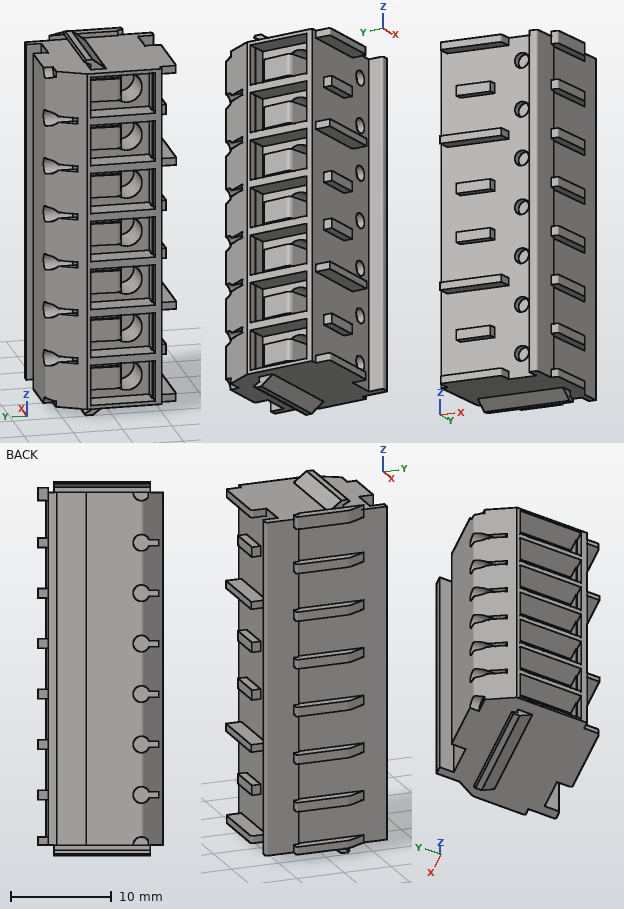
import cadquery as cq
import math

overall_height = 37
cells = 7
pitch = 5.0
clip_height = 1.05
housing_height = overall_height - 2 * clip_height
top = housing_height / 2
first_cell = -pitch * (cells - 1) / 2
cell_centres = [first_cell + i * pitch for i in range(cells)]
cell_borders = [z + pitch / 2 for z in cell_centres[:-1]]

depth = 13.0
front_face = 1.63
wire_face_end = 9.2
slope_run = 2.0
nose_radius = 0.37
channel_left = 7.6
channel_right = 10.55
channel_floor = 11.47
side_face = 11.35
rail_left = 10.65
rail_right = 11.6
rail_shoulder = 3.5
rail_radius = 0.22

long_rib_borders = (1, 4)
long_rib_left = 0.7
long_rib_thickness = 0.78
short_rib_left = 2.2
short_rib_right = 6.0
short_rib_thickness = 1.05
short_rib_front = 0.7
end_rib_radius = 0.25

lug_right = 12.4
lug_front = 2.95
lug_back = 10.5
lug_bend = 8.62
lug_bend_radius = 1.1
lug_thickness = 0.95
end_lug_thickness = 0.8
top_lug_rise = 0.48
lug_radius = 0.15

entry_front = 2.3
entry_back = 8.85
entry_height = 4.18
mouth_depth = 0.95
entry_depth = 2.3
entry_front_step = 0.1
entry_back_step = 0.05
wire_hole_diameter = 3.0
wire_hole_y = 4.62
wire_hole_end = 5.92

spring_width = 2.25
spring_back = 8.65
spring_bend_start = 5.77
spring_tip = 4.48
spring_crest = 1.9
spring_tilt = 0.15
spring_nose = 0.37
spring_bend_end = (2.25, 5.25)

driver_radius = 0.8
driver_x = 2.15
driver_floor = 10.05
end_driver_floor = 12.02
driver_slit = 0.6

test_hole_diameter = 1.55
test_hole_x = 9.03
test_hole_depth = 0.8

clip_left = 1.25
clip_right = 10.8


def box(x0, x1, y0, y1, z0, z1):
    """Block given by its limits along each axis."""
    return cq.Workplane("XY").box(x1 - x0, y1 - y0, z1 - z0, centered=False).translate((x0, y0, z0))


def y_cylinder(radius, x, z, y0, y1):
    """Cylinder along Y from y0 to y1."""
    return cq.Workplane("XZ", origin=(x, y0, z)).circle(radius).extrude(y0 - y1)


def housing():
    body = (
        cq.Workplane("XY", origin=(0, 0, -top))
        .moveTo(0, front_face)
        .lineTo(0, wire_face_end)
        .lineTo(slope_run, depth)
        .lineTo(channel_left, depth)
        .lineTo(channel_left, channel_floor)
        .lineTo(channel_right, channel_floor)
        .lineTo(channel_right, depth)
        .lineTo(side_face, depth)
        .lineTo(side_face, rail_shoulder)
        .lineTo(rail_right, rail_shoulder)
        .lineTo(rail_right, 0)
        .lineTo(rail_left, 0)
        .lineTo(rail_left, front_face)
        .close()
        .extrude(housing_height)
    )
    body = body.edges("|Z and <Y").fillet(rail_radius)
    nose = cq.selectors.NearestToPointSelector((slope_run, depth, 0))
    return body.edges(nose).fillet(nose_radius)


def front_ribs():
    """Bars on the -Y face: one at each end and one on every cell border."""
    ribs = cq.Workplane("XY")
    for z in (-top, top - long_rib_thickness):
        end_rib = box(long_rib_left, channel_left, 0, front_face, z, z + long_rib_thickness)
        ribs = ribs.union(end_rib.edges("|Z and <Y").fillet(end_rib_radius))
    for i, z in enumerate(cell_borders):
        if i in long_rib_borders:
            half = long_rib_thickness / 2
            ribs = ribs.union(box(long_rib_left, channel_left, 0, front_face, z - half, z + half))
        else:
            half = short_rib_thickness / 2
            ribs = ribs.union(
                box(short_rib_left, short_rib_right, short_rib_front, front_face, z - half, z + half)
            )
    return ribs


def lug(z0, z1):
    """Plate on the +X side, seated on the shoulder of the rail."""
    plate = (
        cq.Workplane("XY", origin=(0, 0, z0))
        .moveTo(rail_right, lug_front)
        .lineTo(lug_right, lug_front)
        .lineTo(lug_right, lug_bend)
        .lineTo(side_face, lug_back)
        .lineTo(side_face, rail_shoulder)
        .lineTo(rail_right, rail_shoulder)
        .close()
        .extrude(z1 - z0)
    )
    bend = cq.selectors.NearestToPointSelector((lug_right, lug_bend, (z0 + z1) / 2))
    corner = cq.selectors.NearestToPointSelector((lug_right, lug_front, (z0 + z1) / 2))
    return plate.edges(bend).fillet(lug_bend_radius).edges(corner).fillet(lug_radius)


def side_lugs():
    lugs = lug(-top, end_lug_thickness - top)
    lugs = lugs.union(lug(top - end_lug_thickness, top + top_lug_rise))
    for z in cell_borders:
        lugs = lugs.union(lug(z - lug_thickness / 2, z + lug_thickness / 2))
    return lugs


def wire_entry(z):
    """Stepped pocket with a round hole behind it."""
    z0 = z - entry_height / 2
    z1 = z + entry_height / 2
    mouth = box(0, mouth_depth, entry_front, entry_back, z0, z1)
    inner = box(0, entry_depth, entry_front + entry_front_step, entry_back - entry_back_step, z0, z1)
    hole = (
        cq.Workplane("YZ")
        .center(wire_hole_y, z)
        .circle(wire_hole_diameter / 2)
        .extrude(wire_hole_end)
    )
    return mouth.union(inner).union(hole)


def spring(z):
    """Bent spring leaf that stands proud of the entry floor and runs into the wire hole."""
    flat_back = spring_back - spring_nose
    flat_x = spring_crest + spring_tilt
    nose_mid = spring_nose * (1 - math.sqrt(0.5))
    return (
        cq.Workplane("XY", origin=(0, 0, z - spring_width / 2))
        .moveTo(wire_hole_end, spring_back)
        .lineTo(flat_x + spring_nose, spring_back)
        .threePointArc((flat_x + nose_mid, spring_back - nose_mid), (flat_x, flat_back))
        .lineTo(spring_crest, spring_bend_start)
        .tangentArcPoint(spring_bend_end, relative=False)
        .lineTo(wire_hole_end, spring_tip)
        .close()
        .extrude(spring_width)
    )


def driver_opening(z):
    """Round well with a slit that opens it through the slope."""
    well = y_cylinder(driver_radius, driver_x, z, driver_floor, depth)
    slit = box(0, driver_x, driver_floor, depth, z - driver_slit / 2, z + driver_slit / 2)
    return well.union(slit)


def end_clip():
    """Hooked bar across the top end."""
    foot_front = 7.0
    foot_back = 8.55
    crest_front = 8.35
    tip_back = 9.2
    tip_front = 9.03
    tip_height = 0.85
    neck_height = 0.5
    return (
        cq.Workplane("YZ", origin=(clip_left, 0, top))
        .moveTo(foot_front, 0)
        .lineTo(crest_front, clip_height)
        .lineTo(tip_front, clip_height)
        .lineTo(tip_back, tip_height)
        .lineTo(foot_back, neck_height)
        .lineTo(foot_back, 0)
        .close()
        .extrude(clip_right - clip_left)
    )


result = housing().union(front_ribs()).union(side_lugs())

for z in cell_centres:
    result = result.cut(wire_entry(z)).union(spring(z))
    result = result.cut(
        y_cylinder(test_hole_diameter / 2, test_hole_x, z, front_face, front_face + test_hole_depth)
    )

for z in cell_borders:
    result = result.cut(driver_opening(z))
for z in (-top, top):
    result = result.cut(y_cylinder(driver_radius, driver_x, z, end_driver_floor, depth))

clip = end_clip()
result = result.union(clip).union(clip.mirror("XY"))